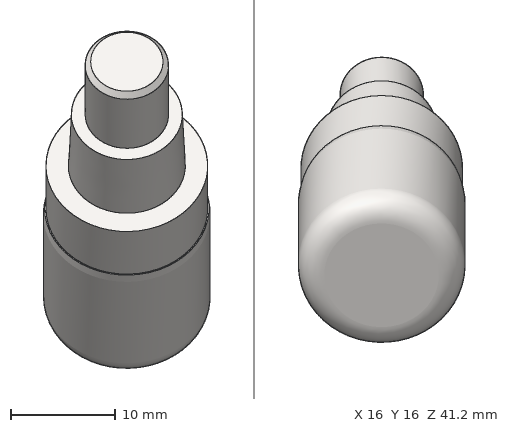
import cadquery as cq
import math

cap_radius = 8.0
cap_height = 17.0
cap_rim_radius = 7.88
rim_taper_height = 1.0
bottom_round = 2.5

collar_radius = 7.75
collar_height = 7.05
neck_base_radius = 5.6
neck_top_radius = 5.32
neck_height = 8.5
stud_radius = 4.0
tip_radius = 3.45
tip_chamfer_height = 0.58
total_height = 41.25

neck_base_z = cap_height + collar_height
neck_top_z = neck_base_z + neck_height


def revolve_about_z(profile):
    """Turn a closed (radius, height) outline about the Z axis."""
    return profile.revolve(360, (0, 0, 0), (0, 1, 0))


def make_cap():
    """Solid cylinder with a rounded bottom and a slightly tapered rim."""
    round_offset = bottom_round * math.sqrt(0.5)
    profile = (
        cq.Workplane("XZ")
        .moveTo(0, 0)
        .lineTo(cap_radius - bottom_round, 0)
        .threePointArc(
            (cap_radius - bottom_round + round_offset, bottom_round - round_offset),
            (cap_radius, bottom_round),
        )
        .lineTo(cap_radius, cap_height - rim_taper_height)
        .lineTo(cap_rim_radius, cap_height)
        .lineTo(0, cap_height)
        .close()
    )
    return revolve_about_z(profile)


def make_plunger():
    """Collar, tapered neck and chamfered stud turned as one piece."""
    profile = (
        cq.Workplane("XZ")
        .moveTo(0, cap_height)
        .lineTo(collar_radius, cap_height)
        .lineTo(collar_radius, neck_base_z)
        .lineTo(neck_base_radius, neck_base_z)
        .lineTo(neck_top_radius, neck_top_z)
        .lineTo(stud_radius, neck_top_z)
        .lineTo(stud_radius, total_height - tip_chamfer_height)
        .lineTo(tip_radius, total_height)
        .lineTo(0, total_height)
        .close()
    )
    return revolve_about_z(profile)


cap = make_cap()
plunger = make_plunger()

result = cq.Compound.makeCompound([cap.val(), plunger.val()])